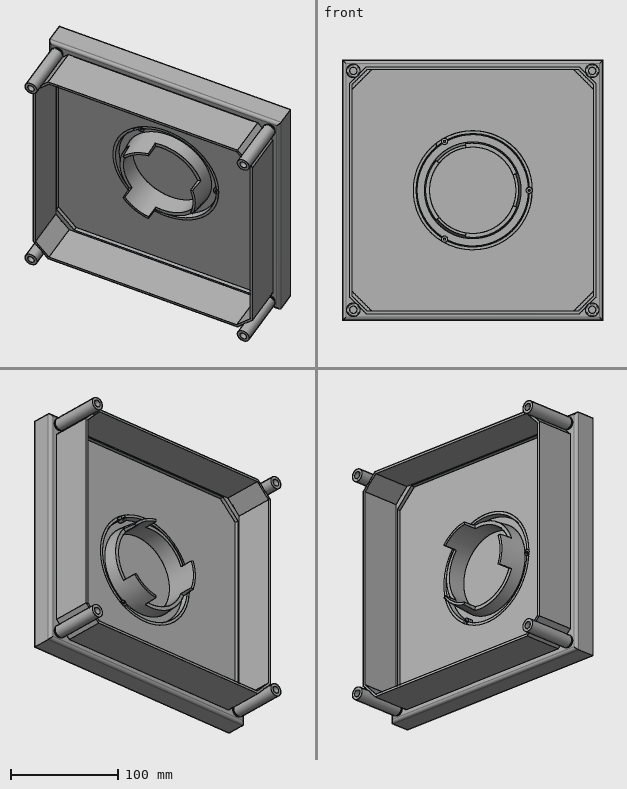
import cadquery as cq
import math


lid_size = 243.0
lid_depth = 22.4
lid_front_radius = 3.2
recess_depth = 4.0

frame_gap = 1.7
frame_depth = 41.3
frame_size = 230.5
frame_corner_cut = 15.8
frame_opening = 225.5
frame_opening_corner_cut = 14.0
recess_corner_cut = 18.5

tube_length = 53.0
tube_radius = 6.3
tube_hole_radius = 3.5
tube_offset = 111.5
spacer_radius = 5.3

collar_radius = 55.6
collar_rim_radius = 53.0
collar_groove_radius = 52.0
collar_bore_radius = 40.3
neck_base_radius = 45.2
tab_tip_radius = 42.8
collar_groove_depth = 5.5
flange_thickness = 5.3
neck_height = 13.9

tab_count = 3
tab_length = 14.5
tab_angle = 42.0

pin_radius = 3.0
pin_hole_radius = 1.0

lid_front = -lid_depth
recess_floor = lid_front + recess_depth
groove_floor = recess_floor + collar_groove_depth
pocket_floor = groove_floor + flange_thickness
frame_back = lid_front - frame_gap
neck_top = groove_floor - neck_height
tab_tip = neck_top - tab_length
pin_offset = collar_radius - pin_radius
tube_places = [(x, z) for x in (-tube_offset, tube_offset) for z in (-tube_offset, tube_offset)]
thirds = [index * 360.0 / tab_count for index in range(tab_count)]


def plane_at(y):
    """XZ plane at height y whose extrusions run toward -Y."""
    return cq.Workplane("XZ", origin=(0, y, 0))


def octagon(size, corner_cut, y, depth):
    """Square plate with its four corners cut at 45 degrees, running from y toward -Y."""
    return plane_at(y).rect(size, size).extrude(depth).edges("|Y").chamfer(corner_cut)


def cylinder(radius, y, length, x=0.0, z=0.0):
    """Cylinder along Y, running from y toward -Y."""
    return plane_at(y).center(x, z).circle(radius).extrude(length)


def turned(body, angle):
    """Body swung about the Y axis, from +X toward +Z."""
    return body.rotate((0, 0, 0), (0, 1, 0), -angle)


def revolved(profile):
    """Full turn of a (radius, y) outline about the Y axis."""
    return cq.Workplane("XY").polyline(profile).close().revolve(360, (0, 0, 0), (0, 1, 0))


def make_lid():
    body = plane_at(0).rect(lid_size, lid_size).extrude(lid_depth)
    body = body.faces("<Y").edges().fillet(lid_front_radius)
    recess = octagon(frame_opening, recess_corner_cut, recess_floor, recess_depth)
    pocket = cylinder(collar_radius, pocket_floor, pocket_floor - recess_floor)
    return body.cut(recess).cut(pocket)


def make_frame():
    body = octagon(frame_size, frame_corner_cut, frame_back, frame_depth)
    for x, z in tube_places:
        body = body.union(cylinder(tube_radius, frame_back, tube_length, x, z))
    body = body.cut(octagon(frame_opening, frame_opening_corner_cut, frame_back, frame_depth))
    for x, z in tube_places:
        body = body.cut(cylinder(tube_hole_radius, frame_back, tube_length, x, z))
    return body


def make_spacer(x, z):
    return cylinder(spacer_radius, lid_front, frame_gap, x, z)


def make_tab_sector(angle):
    """Triangular prism that holds one tab, centred on the given angle around the collar."""
    reach = 2 * collar_radius
    half_width = reach * math.tan(math.radians(tab_angle / 2))
    corners = [(0, 0), (reach, half_width), (reach, -half_width)]
    sector = plane_at(neck_top).polyline(corners).close().extrude(tab_length)
    return turned(sector, angle)


def make_pin(angle):
    pin = cylinder(pin_radius, groove_floor, collar_groove_depth, pin_offset)
    pin = pin.cut(cylinder(pin_hole_radius, groove_floor, collar_groove_depth, pin_offset))
    return turned(pin, angle)


def make_flange():
    profile = [
        (collar_bore_radius, pocket_floor),
        (collar_radius, pocket_floor),
        (collar_radius, recess_floor),
        (collar_rim_radius, recess_floor),
        (collar_groove_radius, groove_floor),
        (collar_bore_radius, groove_floor),
    ]
    return revolved(profile)


def make_neck():
    """Tapered wall as long as the tabs, cut back to the neck height between them."""
    profile = [
        (collar_bore_radius, groove_floor),
        (neck_base_radius, groove_floor),
        (tab_tip_radius, tab_tip),
        (collar_bore_radius, tab_tip),
    ]
    gaps = cylinder(collar_radius, neck_top, tab_length)
    for angle in thirds:
        gaps = gaps.cut(make_tab_sector(angle))
    return revolved(profile).cut(gaps)


def make_collar():
    collar = make_flange().union(make_neck())
    for angle in thirds:
        seat = cylinder(pin_radius, groove_floor, collar_groove_depth, pin_offset)
        collar = collar.cut(turned(seat, angle))
    return collar


lid = make_lid()
frame = make_frame()
spacers = [make_spacer(x, z) for x, z in tube_places]
collar = make_collar()
pins = [make_pin(angle) for angle in thirds]

result = cq.Compound.makeCompound(
    [lid.val(), frame.val(), collar.val()]
    + [spacer.val() for spacer in spacers]
    + [pin.val() for pin in pins]
)